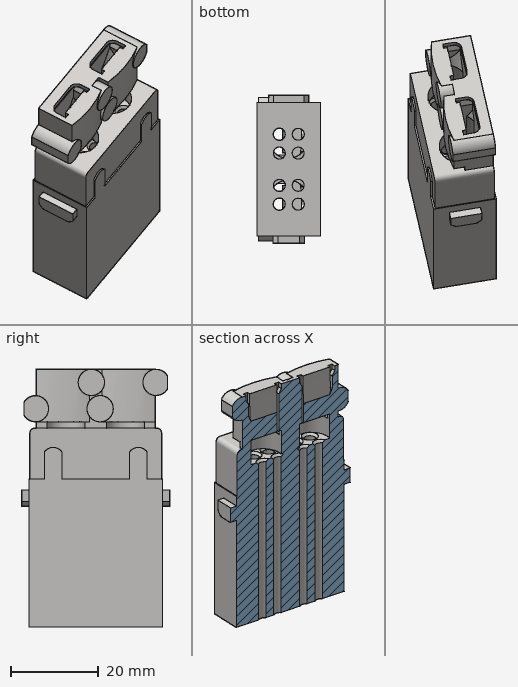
import cadquery as cq

total_height = 58.85
overall_length = 33.85
housing_width = 14.6
housing_length = 30.5
housing_height = 33.8
half_housing = housing_length / 2

body_inset = 0.38
body_right = housing_width - body_inset
half_body = 15.05
shoulder_z = 45.45
shoulder_radius = 1.2

half_head = 13.6
plate_right = 7.0
overhang_right = 10.3
overhang_edge = 9.55
notch_half = 1.4
clip_radius = 3.0
clip_y = 13.8
clip_reach = 16.4
rear_clip_z = total_height - clip_radius
front_clip_z = 49.85
overhang_bottom = front_clip_z - clip_radius
middle_rod_y = 1.0

lug_reach = overall_length / 2
lug_bottom = 27.55
lug_top = 31.3
lug_corner = 1.1
front_lug_width = 9.2
rear_lug_width = 7.25
lug_middle_x = housing_width / 2

grip_y = 9.7
half_grip = 2.0
grip_top = 41.0
grip_rise = 1.05

slot_left = 3.0
slot_right = 7.05
slot_tongue = 6.25
slot_y = 7.55
slot_length = 9.9
slot_corner = 1.75
wing_length = 1.1
entry_depth = 1.2
funnel_depth = 1.2
funnel_top = total_height - entry_depth
funnel_bottom = funnel_top - funnel_depth
passage_left = 3.2
tongue_foot = 5.8
passage_length = 8.5
cone_top_z = 56.5
cone_bottom_z = 51.8
cone_radius = 6.5
bore_x = 7.2
bore_y = 6.8
bore_radius = 4.35
bore_depth = 4.7
hole_radius = 1.35
countersink_radius = 1.95
hole_pitch = 4.3
hole_middle_x = 7.3
hole_middle_y = 5.8


def box(x0, x1, y0, y1, z0, z1):
    """Box between two opposite corners."""
    return cq.Workplane("XY").box(x1 - x0, y1 - y0, z1 - z0, centered=False).translate((x0, y0, z0))


def rod(left, right, y, z, radius):
    """Cylinder lying along X."""
    return cq.Workplane("YZ", origin=(left, y, z)).circle(radius).extrude(right - left)


def make_body():
    body = box(body_inset, body_right, -half_body, half_body, 0, shoulder_z)
    body = body.edges("|X and >Z").fillet(shoulder_radius)
    housing = box(0, housing_width, -half_housing, half_housing, 0, housing_height)
    return body.union(housing)


def make_clip(side, z):
    """Rounded bar along one long edge of the head, cut flat at its outer side."""
    bar = rod(body_inset, overhang_right, side * clip_y, z, clip_radius)
    limit = box(body_inset, overhang_right, -clip_reach, clip_reach, z - clip_radius, z + clip_radius)
    return bar.intersect(limit)


def make_bulge(side):
    """Block with a curved +X face, hanging over the shoulder."""
    inner = side * notch_half
    outer = side * half_head
    return (
        cq.Workplane("XY", origin=(0, 0, overhang_bottom))
        .moveTo(plate_right, inner)
        .lineTo(overhang_edge, inner)
        .threePointArc((overhang_right, (inner + outer) / 2), (overhang_edge, outer))
        .lineTo(plate_right, outer)
        .close()
        .extrude(total_height - overhang_bottom)
    )


def make_head():
    head = box(body_inset, plate_right, -half_head, half_head, housing_height, total_height)
    head = head.union(rod(body_inset, overhang_right, -middle_rod_y, rear_clip_z, clip_radius))
    head = head.union(rod(body_inset, overhang_right, middle_rod_y, front_clip_z, clip_radius))
    for side in (-1, 1):
        head = head.union(make_bulge(side))
    return head.union(make_clip(1, rear_clip_z)).union(make_clip(-1, front_clip_z))


def make_lug(side, width):
    """Lug on a narrow side of the housing, with its lower corners cut off."""
    lug = box(-width / 2, width / 2, half_housing, lug_reach, lug_bottom, lug_top)
    lug = lug.edges("|Y and <Z").chamfer(lug_corner)
    if side < 0:
        lug = lug.mirror("XZ")
    return lug.translate((lug_middle_x, 0, 0))


def make_grip(side):
    """Thin pad with an arched top on the +X face of the body."""
    arch_start = grip_top - grip_rise
    return (
        cq.Workplane("YZ", origin=(body_right, side * grip_y, 0))
        .moveTo(-half_grip, housing_height)
        .lineTo(-half_grip, arch_start)
        .threePointArc((0, grip_top), (half_grip, arch_start))
        .lineTo(half_grip, housing_height)
        .close()
        .extrude(body_inset)
    )


def make_mouth():
    """Slot mouth, rounded on the -X side."""
    mouth = box(
        slot_left, slot_right, slot_y - slot_length / 2, slot_y + slot_length / 2,
        funnel_top, total_height,
    )
    return mouth.edges("|Z and <X").fillet(slot_corner)


def make_funnel():
    """Tapered section that shortens the slot along Y."""
    width = slot_right - passage_left
    return (
        cq.Workplane("XY", origin=(passage_left + width / 2, slot_y, funnel_bottom))
        .rect(width, passage_length)
        .workplane(offset=funnel_depth)
        .rect(width, slot_length)
        .loft(ruled=True)
    )


def make_shaft():
    """Straight passage below the funnel, narrowed by a cone that leads into the bore."""
    half_length = passage_length / 2
    shaft = box(
        passage_left, slot_right, slot_y - half_length, slot_y + half_length,
        shoulder_z, funnel_bottom,
    )
    throat = cq.Workplane("XY", origin=(bore_x, bore_y, shoulder_z)).circle(bore_radius)
    throat = throat.extrude(cone_bottom_z - shoulder_z)
    cone = (
        cq.Workplane("XY", origin=(bore_x, bore_y, cone_bottom_z))
        .circle(bore_radius)
        .workplane(offset=cone_top_z - cone_bottom_z)
        .circle(cone_radius)
        .loft(ruled=True)
    )
    return shaft.intersect(throat.union(cone))


def make_tongue():
    """Tongue left standing on the +X side of the slot, thickening below the funnel."""
    length = slot_length - 2 * wing_length
    return (
        cq.Workplane("XZ", origin=(0, slot_y + length / 2, 0))
        .moveTo(slot_right, total_height)
        .lineTo(slot_tongue, total_height)
        .lineTo(slot_tongue, funnel_bottom)
        .lineTo(tongue_foot, shoulder_z)
        .lineTo(slot_right, shoulder_z)
        .close()
        .extrude(length)
    )


def make_slot():
    """Complete slot through the head, down to the bore."""
    return make_mouth().union(make_funnel()).union(make_shaft()).cut(make_tongue())


def make_bore():
    """Round well in the body with four countersunk holes running through to the bottom."""
    floor = shoulder_z - bore_depth
    well_height = overhang_bottom - floor
    well = cq.Workplane("XY", origin=(bore_x, bore_y, floor)).circle(bore_radius).extrude(well_height)
    sink_depth = countersink_radius - hole_radius
    hole = cq.Workplane("XY").circle(hole_radius).extrude(floor)
    sink = cq.Workplane("XY").circle(hole_radius).workplane(offset=sink_depth).circle(countersink_radius)
    hole = hole.union(sink.loft(ruled=True).translate((0, 0, floor - sink_depth)))
    for i in (-0.5, 0.5):
        for j in (-0.5, 0.5):
            x = hole_middle_x + i * hole_pitch
            y = hole_middle_y + j * hole_pitch
            well = well.union(hole.translate((x, y, 0)))
    return well


result = make_body().union(make_head())
result = result.union(make_lug(-1, front_lug_width)).union(make_lug(1, rear_lug_width))
for grip_side in (-1, 1):
    result = result.union(make_grip(grip_side))

for opening in (make_slot(), make_bore()):
    result = result.cut(opening).cut(opening.mirror("XZ"))